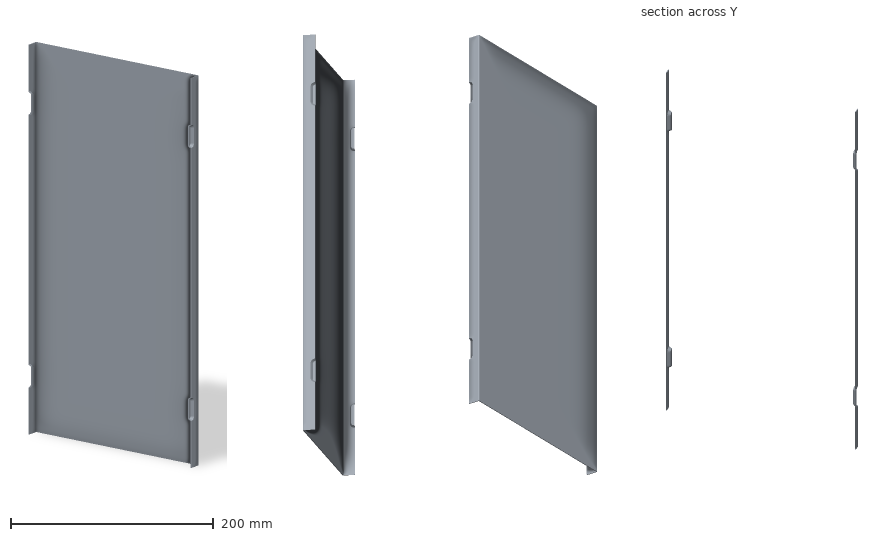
import cadquery as cq
import math

width = 200.0
depth = 12.5
height = 400.0
thickness = 0.9
outer_bend_radius = thickness

dimple_spacing = 280.0
dimple_length = 23.5
dimple_reach = 4.5
dimple_corner_radius = 4.0
press_depth = 3.0
wall_taper = 30.0

half_width = width / 2
front_y = -depth / 2


def make_channel():
    """U-shaped sheet with rounded outside bends, centred on the origin."""
    outer = cq.Workplane("XY").box(width, depth, height)
    outer = outer.edges("|Z and >Y").fillet(outer_bend_radius)
    inner = cq.Workplane("XY").box(width - 2 * thickness, depth, height)
    return outer.cut(inner.translate((0, -thickness, 0)))


def tapered_block(start_x, z, margin):
    """Rounded block that narrows toward +X, cut off flush with the free edge of the left flange.

    It starts at start_x with the dimple mouth outline grown by margin on every side.
    """
    reach = dimple_reach + margin
    length = dimple_length + 2 * margin
    outline = cq.Sketch().rect(2 * reach, length).vertices().fillet(dimple_corner_radius + margin)
    block = (
        cq.Workplane("YZ", origin=(start_x, front_y, z))
        .placeSketch(outline)
        .extrude(press_depth, taper=wall_taper)
    )
    panel_envelope = cq.Workplane("XY").box(width, depth, height)
    return block.intersect(panel_envelope)


def add_dimple(body, z, mirrored):
    """Press one dimple of constant sheet thickness into a flange."""
    slope_angle = math.radians(wall_taper)
    wall_margin = thickness * (1 - math.sin(slope_angle)) / math.cos(slope_angle)
    bump = tapered_block(-half_width + thickness, z, wall_margin)
    pocket = tapered_block(-half_width, z, 0)
    if mirrored:
        bump = bump.mirror("YZ")
        pocket = pocket.mirror("YZ")
    return body.union(bump).cut(pocket)


result = make_channel()
for dimple_z in (-dimple_spacing / 2, dimple_spacing / 2):
    for on_right_flange in (False, True):
        result = add_dimple(result, dimple_z, on_right_flange)